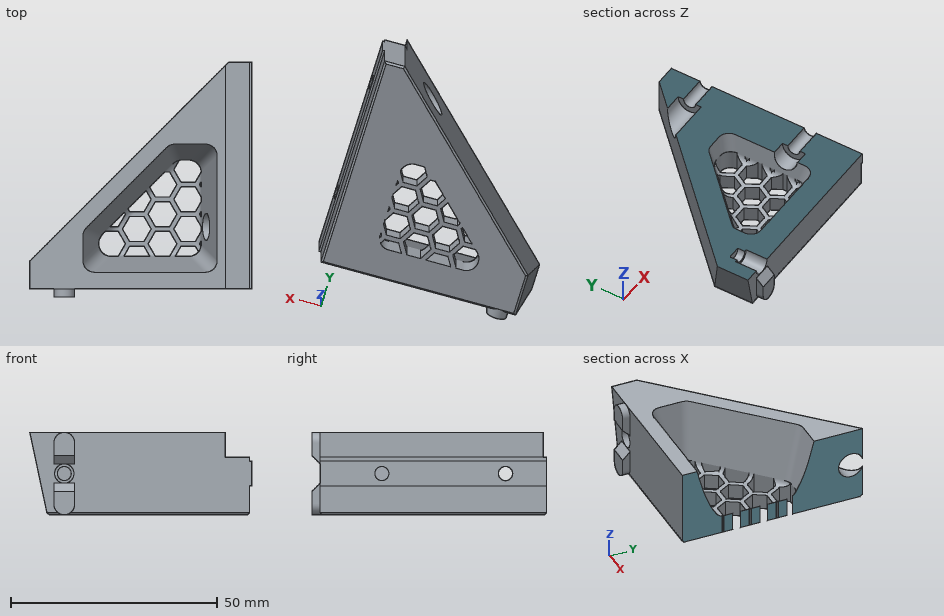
import cadquery as cq
import math

HEIGHT = 20.0
DEPTH = 55.0
OVERALL_LENGTH = 53.89
RIB_THICKNESS = 0.5
BODY_LENGTH = OVERALL_LENGTH - RIB_THICKNESS
END_FACE_DEPTH = 6.7
END_LEAN_ANGLE = 12.0
BASE_CHAMFER = 0.5

STEP_WIDTH = 5.9
STEP_X = BODY_LENGTH - STEP_WIDTH
STEP_Z = 14.0
RIB_BOTTOM = 7.0
RIB_TOP = 13.0

WALL = 4.0
STEP_WALL = 2.0
POCKET_LEFT = 12.9
POCKET_RIGHT = STEP_X - STEP_WALL
POCKET_BACK = 35.1
POCKET_FLOOR = 4.0
POCKET_DRAFT = 15.0
POCKET_CORNER_RADIUS = 3.0
POCKET_FLOOR_FILLET = 2.0
DRAFT_ANGLE = math.radians(POCKET_DRAFT)
TANGENT_Z = POCKET_FLOOR + POCKET_FLOOR_FILLET * (1 - math.sin(DRAFT_ANGLE))
MESH_INSET = (HEIGHT - TANGENT_Z) * math.tan(DRAFT_ANGLE)
FOOT_BULGE = POCKET_FLOOR_FILLET * (1 - math.cos(DRAFT_ANGLE))
FOOT_STRAIGHT = 0.5

HEX_SIDES = 6
HEX_FLATS = 6.0
HEX_COSINE = math.cos(math.pi / HEX_SIDES)
HEX_WEB = 1.2
HEX_ORIGIN = (32.22, 18.1)
HEX_REACH = 3

SCREW_Y = (15.0, 45.0)
MID_Z = HEIGHT / 2
SCREW_DIAMETER = 3.4
SCREW_HEAD_DIAMETER = 6.5
SCREW_SEAT_DEPTH = 7.0
SCREW_SEAT_X = BODY_LENGTH - SCREW_SEAT_DEPTH

KEY_X = 8.39
KEY_WIDTH = 5.0
KEY_HEIGHT = 2.0
INSERT_DIAMETER = 4.7
INSERT_DEPTH = 6.0
INSERT_PILOT_DIAMETER = 3.4
INSERT_PILOT_DEPTH = 8.0


def make_body():
    """Wedge with the leaning end, the step, the base chamfer and the rib."""
    body = (
        cq.Workplane("XY")
        .polyline([
            (0, 0),
            (BODY_LENGTH, 0),
            (BODY_LENGTH, DEPTH),
            (DEPTH - END_FACE_DEPTH, DEPTH),
            (0, END_FACE_DEPTH),
        ])
        .close()
        .extrude(HEIGHT)
    )
    lean = HEIGHT * math.tan(math.radians(END_LEAN_ANGLE))
    end_profile = (
        cq.Workplane("XZ")
        .polyline([
            (lean, 0),
            (BODY_LENGTH, 0),
            (BODY_LENGTH, STEP_Z),
            (STEP_X, STEP_Z),
            (STEP_X, HEIGHT),
            (0, HEIGHT),
        ])
        .close()
        .extrude(-DEPTH)
    )
    body = body.intersect(end_profile).faces("<Z").edges().chamfer(BASE_CHAMFER)
    rib = cq.Workplane("XY").box(RIB_THICKNESS, DEPTH, RIB_TOP - RIB_BOTTOM, centered=False)
    return body.union(rib.translate((BODY_LENGTH, 0, RIB_BOTTOM)))


def pocket_outline(inset):
    """Sharp-cornered pocket outline at the top, moved inward by inset."""
    left = POCKET_LEFT + inset
    right = POCKET_RIGHT - inset
    front = WALL + inset
    back = POCKET_BACK - inset
    diagonal = END_FACE_DEPTH - (WALL + inset) * math.sqrt(2)
    return (
        cq.Workplane("XY")
        .polyline([
            (left, front),
            (right, front),
            (right, back),
            (back - diagonal, back),
            (left, left + diagonal),
        ])
        .close()
    )


def rounded_prism(inset, corner_radius, bottom, top):
    """Upright prism on the pocket outline with rounded corners."""
    prism = pocket_outline(inset).extrude(top - bottom).translate((0, 0, bottom))
    return prism.edges("|Z").fillet(corner_radius)


def make_pocket():
    """Drafted pocket volume, with a rounded foot tangent to the drafted walls."""
    drafted = pocket_outline(0).extrude(TANGENT_Z - HEIGHT, taper=POCKET_DRAFT)
    drafted = drafted.translate((0, 0, HEIGHT))
    drafted = drafted.edges("not #Z").fillet(POCKET_CORNER_RADIUS)
    foot = rounded_prism(
        MESH_INSET - FOOT_BULGE,
        POCKET_CORNER_RADIUS + FOOT_BULGE,
        POCKET_FLOOR,
        POCKET_FLOOR + POCKET_FLOOR_FILLET + FOOT_STRAIGHT,
    )
    foot = foot.faces("<Z").edges().fillet(POCKET_FLOOR_FILLET)
    below_drafted = cq.Workplane("XY").box(BODY_LENGTH, DEPTH, TANGENT_Z, centered=False)
    return drafted.union(foot.intersect(below_drafted))


def make_mesh_openings():
    """Hexagonal prisms, trimmed to the outline of the mesh."""
    row_pitch = HEX_FLATS + HEX_WEB
    column_pitch = row_pitch * HEX_COSINE
    centers = []
    for column in range(-HEX_REACH, HEX_REACH + 1):
        stagger = row_pitch / 2 * (column % 2)
        for row in range(-HEX_REACH, HEX_REACH + 1):
            x = HEX_ORIGIN[0] + column * column_pitch
            y = HEX_ORIGIN[1] + row * row_pitch + stagger
            centers.append((x, y))
    prisms = (
        cq.Workplane("XY")
        .pushPoints(centers)
        .polygon(HEX_SIDES, HEX_FLATS / HEX_COSINE)
        .extrude(TANGENT_Z)
    )
    return prisms.intersect(rounded_prism(MESH_INSET, POCKET_CORNER_RADIUS, 0, TANGENT_Z))


def make_screw_hole(y):
    """Clearance hole out to the rib side, with the head bore toward -X.

    The head bore starts inside the pocket or clear of the 45 degree face.
    """
    bore_start = y - END_FACE_DEPTH - SCREW_HEAD_DIAMETER
    if y < POCKET_BACK:
        bore_start = (POCKET_LEFT + POCKET_RIGHT) / 2
    axis = cq.Workplane("YZ", origin=(bore_start, y, MID_Z))
    head = axis.circle(SCREW_HEAD_DIAMETER / 2).extrude(SCREW_SEAT_X - bore_start)
    shank = axis.circle(SCREW_DIAMETER / 2).extrude(OVERALL_LENGTH - bore_start)
    return head.union(shank)


def make_key():
    """Round-ended key the full height of the part, split by a 45 degree notch."""
    key = (
        cq.Workplane("XZ", origin=(KEY_X, BASE_CHAMFER, MID_Z))
        .slot2D(HEIGHT, KEY_WIDTH, 90)
        .extrude(KEY_HEIGHT + BASE_CHAMFER)
    )
    root = INSERT_DIAMETER / 2
    mouth = root + KEY_HEIGHT
    notch = (
        cq.Workplane("YZ", origin=(KEY_X, 0, MID_Z))
        .polyline([
            (BASE_CHAMFER, -root),
            (0, -root),
            (-KEY_HEIGHT, -mouth),
            (-KEY_HEIGHT, mouth),
            (0, root),
            (BASE_CHAMFER, root),
        ])
        .close()
        .extrude(KEY_WIDTH / 2, both=True)
    )
    return key.cut(notch)


def make_insert_hole():
    """Blind stepped hole into the -Y face."""
    axis = cq.Workplane("XZ", origin=(KEY_X, 0, MID_Z))
    insert = axis.circle(INSERT_DIAMETER / 2).extrude(-INSERT_DEPTH)
    pilot = axis.circle(INSERT_PILOT_DIAMETER / 2).extrude(-INSERT_PILOT_DEPTH)
    return insert.union(pilot)


result = make_body().union(make_key())
result = result.cut(make_pocket()).cut(make_mesh_openings()).cut(make_insert_hole())
for screw_y in SCREW_Y:
    result = result.cut(make_screw_hole(screw_y))